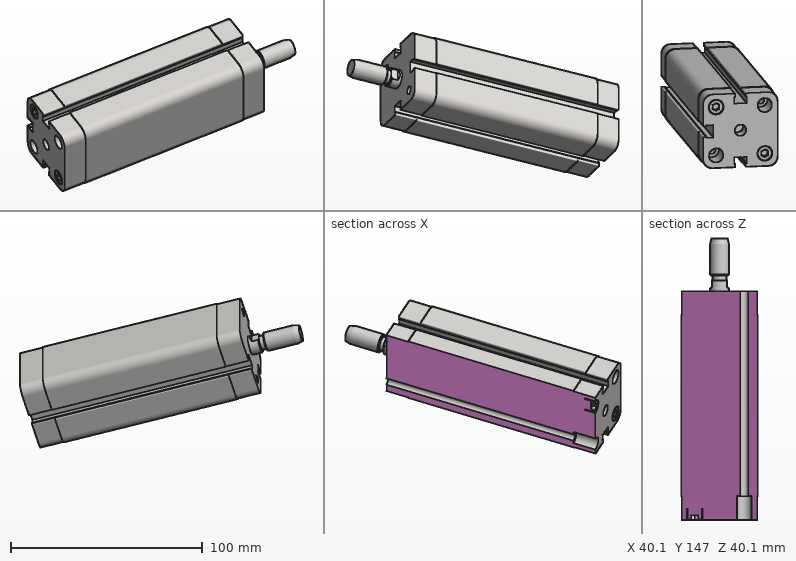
import cadquery as cq
import math

TOTAL_LENGTH = 147.0

BARREL_SIDE = 40.1
CAP_SIDE = 39.5
CORNER_CENTRE = 14.8
BARREL_LENGTH = 94.5
CAP_LENGTH = 12.5
BODY_LENGTH = BARREL_LENGTH + 2 * CAP_LENGTH

SLOT_FLOOR = 14.4
SLOT_LIP_BOTTOM = 18.0
SLOT_THROAT_WIDTH = 5.7
SLOT_MOUTH_RADIUS = 0.3
SLOT_WIDTH = 6.6
SLOT_ANGLES = (0, -90, 180)

HOLE_OFFSET = 13.0
MOUNT_BORE = 4.1
MOUNT_COUNTERBORE = 7.5
MOUNT_COUNTERBORE_DEPTH = CAP_LENGTH
SCREW_RECESS = 8.0
SCREW_HEAD = 7.5
SCREW_RECESS_DEPTH = 5.9
SCREW_HEAD_DROP = 0.3
SOCKET_ACROSS_CORNERS = 4.1
SOCKET_DEPTH = 2.2
CENTRE_BORE = 6.0
CENTRE_BORE_DEPTH = 8.8

ROD_DIAMETER = 10.0
ROD_LENGTH = TOTAL_LENGTH - BODY_LENGTH
COLLAR_LENGTH = 5.7
COLLAR_CHAMFER = 0.5
UNDERCUT_DIAMETER = 7.5
UNDERCUT_LENGTH = 2.4
THREAD_START_CHAMFER = 0.6
TIP_DIAMETER = 8.5
TIP_CHAMFER_LENGTH = 3.0
FLAT_WIDTH = 8.1
FLAT_START = 1.2
FLAT_RUNOUT = 0.9


def block(side, start, length):
    """Square block along +Y with rounded edges and slotted sides."""
    radius = side / 2 - CORNER_CENTRE
    square = cq.Workplane("XZ", origin=(0, start, 0)).rect(side, side).extrude(-length)
    slotted = square.edges("|Y").fillet(radius)
    for angle in SLOT_ANGLES:
        slot = sensor_slot(side, start, length)
        slotted = slotted.cut(slot.rotate((0, 0, 0), (0, 1, 0), angle))
    return slotted


def sensor_slot(side, start, length):
    """Cutter for a lipped slot in the +Z side, with rounded mouth edges."""
    top = side / 2
    throat = SLOT_THROAT_WIDTH / 2
    inner = SLOT_WIDTH / 2
    mouth = throat + SLOT_MOUTH_RADIUS
    rounding_bottom = top - SLOT_MOUTH_RADIUS
    arc_inset = SLOT_MOUTH_RADIUS * math.sqrt(0.5)
    arc_x = mouth - arc_inset
    arc_z = rounding_bottom + arc_inset
    outline = (
        cq.Workplane("XZ", origin=(0, start, 0))
        .moveTo(-mouth, top)
        .lineTo(mouth, top)
        .threePointArc((arc_x, arc_z), (throat, rounding_bottom))
        .lineTo(throat, SLOT_LIP_BOTTOM)
        .lineTo(inner, SLOT_LIP_BOTTOM)
        .lineTo(inner, SLOT_FLOOR)
        .lineTo(-inner, SLOT_FLOOR)
        .lineTo(-inner, SLOT_LIP_BOTTOM)
        .lineTo(-throat, SLOT_LIP_BOTTOM)
        .lineTo(-throat, rounding_bottom)
        .threePointArc((-arc_x, arc_z), (-mouth, top))
        .close()
    )
    return outline.extrude(-length)


def bore(x, z, diameter, depth, start=0.0):
    """Cylinder along +Y, beginning at y = start."""
    return cq.Workplane("XZ", origin=(x, start, z)).circle(diameter / 2).extrude(-depth)


def cap_screw(x, z):
    """Socket head that fills its recess apart from a narrow ring."""
    head = bore(x, z, SCREW_HEAD, SCREW_RECESS_DEPTH - SCREW_HEAD_DROP, SCREW_HEAD_DROP)
    socket = (
        cq.Workplane("XZ", origin=(x, SCREW_HEAD_DROP, z))
        .transformed(rotate=(0, 0, 90))
        .polygon(6, SOCKET_ACROSS_CORNERS)
        .extrude(-SOCKET_DEPTH)
    )
    return head.cut(socket)


def piston_rod():
    """Turned rod that begins inside the cap face and ends at the tip."""
    rod = ROD_DIAMETER / 2
    undercut = UNDERCUT_DIAMETER / 2
    thread_start = COLLAR_LENGTH + UNDERCUT_LENGTH
    profile = [
        (0, 0),
        (rod, 0),
        (rod, COLLAR_LENGTH - COLLAR_CHAMFER),
        (rod - COLLAR_CHAMFER, COLLAR_LENGTH),
        (undercut, COLLAR_LENGTH),
        (undercut, thread_start),
        (rod - THREAD_START_CHAMFER, thread_start),
        (rod, thread_start + THREAD_START_CHAMFER),
        (rod, ROD_LENGTH - TIP_CHAMFER_LENGTH),
        (TIP_DIAMETER / 2, ROD_LENGTH),
        (0, ROD_LENGTH),
    ]
    turned = cq.Workplane("XY").polyline(profile).close().revolve(360, (0, 0, 0), (0, 1, 0))
    for side in (-1, 1):
        turned = turned.cut(wrench_flat(side))
    return turned.translate((0, BODY_LENGTH, 0))


def wrench_flat(side):
    """Cutter for one flat; it slopes back out to the rod surface near the cap."""
    flat = side * FLAT_WIDTH / 2
    rim = side * ROD_DIAMETER / 2
    outline = [
        (rim, FLAT_START),
        (flat, FLAT_START + FLAT_RUNOUT),
        (flat, COLLAR_LENGTH),
        (rim, COLLAR_LENGTH),
    ]
    return cq.Workplane("XY").polyline(outline).close().extrude(ROD_DIAMETER / 2, both=True)


body = block(BARREL_SIDE, CAP_LENGTH, BARREL_LENGTH)
for cap_start in (0, CAP_LENGTH + BARREL_LENGTH):
    body = body.union(block(CAP_SIDE, cap_start, CAP_LENGTH))

body = body.cut(bore(0, 0, CENTRE_BORE, CENTRE_BORE_DEPTH))

for side in (-1, 1):
    offset = side * HOLE_OFFSET
    body = body.cut(bore(offset, offset, MOUNT_BORE, BODY_LENGTH))
    body = body.cut(bore(offset, offset, MOUNT_COUNTERBORE, MOUNT_COUNTERBORE_DEPTH))
    body = body.cut(bore(offset, -offset, SCREW_RECESS, SCREW_RECESS_DEPTH))
    body = body.union(cap_screw(offset, -offset))

result = body.union(piston_rod())